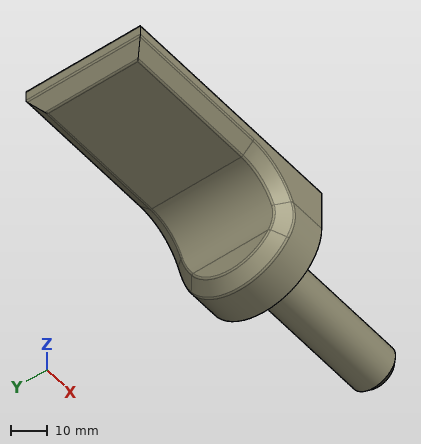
import cadquery as cq
import math

body_length = 80.0
body_width = 40.0
body_height = 35.0
tongue_thickness = 8.5
block_thickness = 15.0
inner_bend_radius = 15.0

underside_chamfer = 4.0
chamfer_blend_radius = 1.0
top_edge_radius = 1.0

pin_diameter = 15.5
pin_length = 50.0
pin_axis_height = 17.5
pin_end_chamfer = 2.0

half_width = body_width / 2
tongue_bottom = body_height - tongue_thickness
block_front = body_length - block_thickness
bend_center_x = block_front - inner_bend_radius
bend_center_z = tongue_bottom - inner_bend_radius

position_tolerance = 0.1


def bend_midpoint():
    """Point halfway round the concave bend between tongue and block."""
    reach = inner_bend_radius * math.sqrt(0.5)
    return (bend_center_x + reach, bend_center_z + reach)


def make_side_prism():
    """L-shaped side outline, extruded over the full width."""
    return (
        cq.Workplane("XZ")
        .moveTo(0, body_height)
        .lineTo(0, tongue_bottom)
        .lineTo(bend_center_x, tongue_bottom)
        .threePointArc(bend_midpoint(), (block_front, bend_center_z))
        .lineTo(block_front, 0)
        .lineTo(body_length, 0)
        .lineTo(body_length, body_height)
        .close()
        .extrude(half_width, both=True)
    )


def make_end_prism():
    """D-shaped end outline with a semicircular bottom, extruded along the length."""
    return (
        cq.Workplane("YZ")
        .moveTo(-half_width, body_height)
        .lineTo(-half_width, half_width)
        .threePointArc((0, 0), (half_width, half_width))
        .lineTo(half_width, body_height)
        .close()
        .extrude(body_length)
    )


def underside_faces(body):
    """Tongue bottom, concave bend and block front."""
    faces = []
    for face in body.faces().vals():
        box = face.BoundingBox()
        below_tongue = box.zmax < tongue_bottom + position_tolerance
        ahead_of_block = box.xmax < block_front + position_tolerance
        if below_tongue and ahead_of_block:
            faces.append(face)
    return faces


def holds(edges, wanted):
    """True if the wanted edge is among the edges."""
    return any(edge.isSame(wanted) for edge in edges)


def patch_rim(faces):
    """Outer edges of a patch of faces: those belonging to only one of its faces."""
    edges = [edge for face in faces for edge in face.Edges()]
    return [edge for edge in edges if sum(edge.isSame(other) for other in edges) == 1]


def round_top_edges(body):
    """Round the top face along its front and both sides; the back edge stays sharp."""
    return body.faces(">Z").edges("not(>X)").fillet(top_edge_radius)


def bevel_underside(body):
    """Chamfer all round the underside, with both borders of the chamfer blended."""
    body = body.newObject(patch_rim(underside_faces(body))).chamfer(underside_chamfer)
    underside = underside_faces(body)
    inner_rim = patch_rim(underside)
    bevelled_patch = list(underside)
    for face in body.faces().vals():
        meets_rim = any(holds(inner_rim, edge) for edge in face.Edges())
        is_underside = any(face.isSame(other) for other in underside)
        if meets_rim and not is_underside:
            bevelled_patch.append(face)
    outer_rim = patch_rim(bevelled_patch)
    return body.newObject(inner_rim + outer_rim).fillet(chamfer_blend_radius)


def make_body():
    body = make_side_prism().intersect(make_end_prism())
    return round_top_edges(bevel_underside(body))


def make_pin():
    """Cylinder along X with a chamfered free end."""
    return (
        cq.Workplane("YZ", origin=(body_length, 0, pin_axis_height))
        .circle(pin_diameter / 2)
        .extrude(pin_length)
        .faces(">X")
        .chamfer(pin_end_chamfer)
    )


result = make_body().union(make_pin())